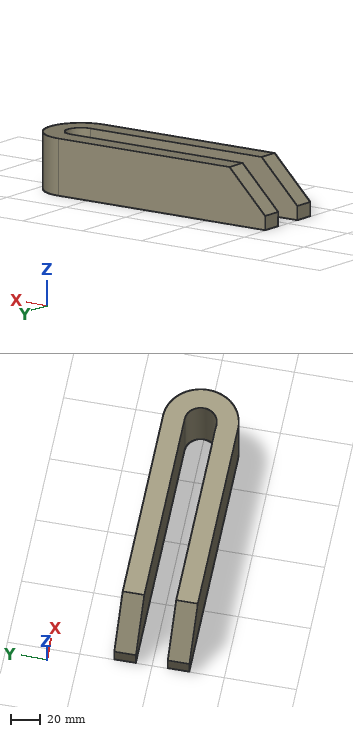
import cadquery as cq

length = 200.0
width = 52.0
height = 40.0
slot_width = 22.0
nose_height = 10.0
bevel_length = 30.0

outer_radius = width / 2
slot_radius = slot_width / 2
round_center_x = length - outer_radius


def round_ended_bar(radius):
    """Full-height bar from X = 0, ending in a half round about the shared centre."""
    return (
        cq.Workplane("XY")
        .moveTo(0, -radius)
        .lineTo(round_center_x, -radius)
        .threePointArc((round_center_x + radius, 0), (round_center_x, radius))
        .lineTo(0, radius)
        .close()
        .extrude(height)
    )


def nose_bevel():
    """Wedge removed from the upper edge of the open end."""
    return (
        cq.Workplane("XZ")
        .moveTo(0, nose_height)
        .lineTo(bevel_length, height)
        .lineTo(0, height)
        .close()
        .extrude(outer_radius, both=True)
    )


result = round_ended_bar(outer_radius).cut(round_ended_bar(slot_radius)).cut(nose_bevel())